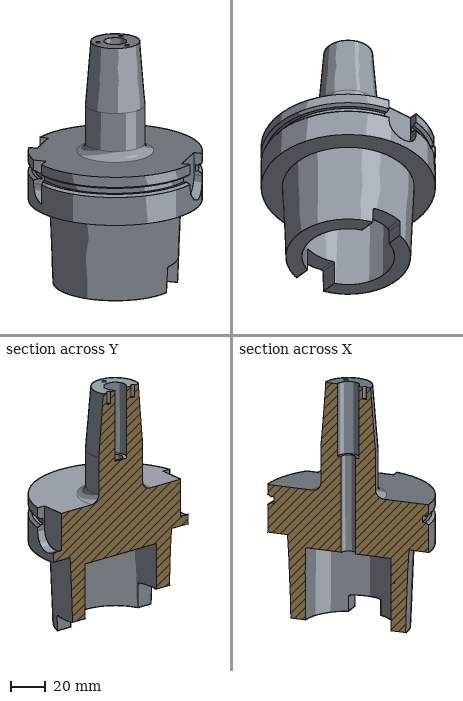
import cadquery as cq
import math

total_height = 145.0
shank_height = 50.0
flange_top = 79.0
neck_top = 106.9

shank_end_radius = 35.8
shank_root_radius = 37.8
hollow_radius = 26.5
hollow_depth = 43.5

flange_radius = 50.0
groove_floor_radius = 46.1
groove_bevel_radius = 48.0
groove_center = 69.9
groove_floor_width = 3.6
groove_mouth_width = 6.1

neck_radius = 17.1
nose_tip_radius = 14.0
neck_fillet = 5.0
tool_bore_radius = 6.5
tool_bore_depth = 43.5
through_hole_radius = 4.4
coolant_hole_count = 3
coolant_hole_radius = 1.2
coolant_circle_radius = 10.2
coolant_hole_depth = 7.2

keyway_width = 20.0
wide_keyway_width = 21.8
keyway_bottom = 54.8
keyway_floor = 44.0
notch_corner = 31.6

drive_slot_width = 20.0
drive_slot_fillet = 1.3
shallow_slot_depth = 9.9
deep_slot_depth = 15.5


def revolved_body():
    """Shank, grooved flange and tapered nose as one turned solid."""
    half_floor = groove_floor_width / 2
    half_mouth = groove_mouth_width / 2
    fillet_center_radius = neck_radius + neck_fillet
    fillet_center_height = flange_top + neck_fillet
    diagonal = neck_fillet * math.sqrt(0.5)
    return (
        cq.Workplane("XZ")
        .lineTo(shank_end_radius, 0)
        .lineTo(shank_root_radius, shank_height)
        .lineTo(flange_radius, shank_height)
        .lineTo(flange_radius, groove_center - half_mouth)
        .lineTo(groove_bevel_radius, groove_center - half_floor)
        .lineTo(groove_floor_radius, groove_center - half_floor)
        .lineTo(groove_floor_radius, groove_center + half_floor)
        .lineTo(groove_bevel_radius, groove_center + half_floor)
        .lineTo(flange_radius, groove_center + half_mouth)
        .lineTo(flange_radius, flange_top)
        .lineTo(fillet_center_radius, flange_top)
        .threePointArc(
            (fillet_center_radius - diagonal, fillet_center_height - diagonal),
            (neck_radius, fillet_center_height),
        )
        .lineTo(neck_radius, neck_top)
        .lineTo(nose_tip_radius, total_height)
        .lineTo(0, total_height)
        .close()
        .revolve(360, (0, 0, 0), (0, 1, 0))
    )


def keyway(side, width, floor_x, center_y=0):
    """Round-bottomed cutter open to the flange top; side is -1 or +1 along X."""
    radius = width / 2
    center_z = keyway_bottom + radius
    length = side * (flange_radius - floor_x)
    return (
        cq.Workplane("YZ", origin=(side * floor_x, center_y, 0))
        .moveTo(-radius, flange_top)
        .lineTo(-radius, center_z)
        .threePointArc((0, keyway_bottom), (radius, center_z))
        .lineTo(radius, flange_top)
        .close()
        .extrude(length)
    )


def drive_slot(side, depth):
    """Slot through one side of the shank wall, with rounded inner corners."""
    return (
        cq.Workplane("XY")
        .center(side * shank_root_radius / 2, 0)
        .rect(shank_root_radius, drive_slot_width)
        .extrude(depth)
        .edges("|X and >Z")
        .fillet(drive_slot_fillet)
    )


def nose_holes():
    """Stepped central bore and the ring of coolant holes in the nose face."""
    face = cq.Workplane("XY", origin=(0, 0, total_height))
    through_hole = face.circle(through_hole_radius).extrude(-total_height)
    tool_bore = face.circle(tool_bore_radius).extrude(-tool_bore_depth)
    coolant_holes = (
        face.polarArray(coolant_circle_radius, 90, 360, coolant_hole_count)
        .circle(coolant_hole_radius)
        .extrude(-coolant_hole_depth)
    )
    return through_hole.union(tool_bore).union(coolant_holes)


hollow = cq.Workplane("XY").circle(hollow_radius).extrude(hollow_depth)
result = revolved_body().cut(hollow).cut(nose_holes())

result = result.cut(keyway(-1, keyway_width, keyway_floor))
result = result.cut(keyway(1, wide_keyway_width, keyway_floor))
result = result.cut(keyway(-1, keyway_width, notch_corner, -notch_corner - keyway_width / 2))

result = result.cut(drive_slot(-1, shallow_slot_depth))
result = result.cut(drive_slot(1, deep_slot_depth))